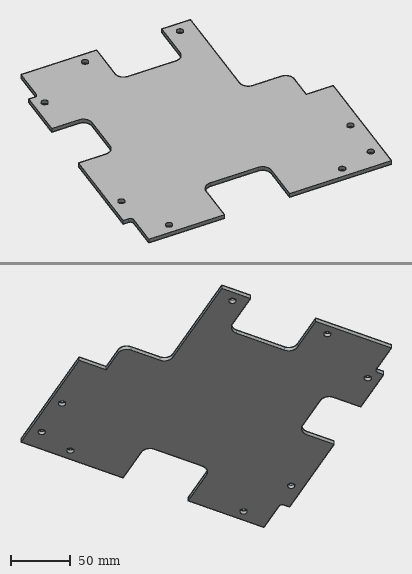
import cadquery as cq

width = 238.0
height = 235.0
thickness = 4.0

corner_radius = 8.0
step_radius = 3.0

arm_top = 166.5
shoulder_left = 99.2
shoulder_top = 209.7
tower_left = 129.5

side_notch_depth = 42.1
side_notch_bottom = 79.0
side_notch_top = 139.7

bottom_notch_left = 74.0
bottom_notch_right = 123.5
bottom_notch_depth = 33.5

step_width = 31.2
step_height = 8.3

hole_diameter = 6.0
hole_edge_offset = 9.3
bottom_hole_height = 10.0
top_hole_offset = 10.2
hole_centers = [
    (hole_edge_offset, 152.0),
    (hole_edge_offset, 63.5),
    (41.0, bottom_hole_height),
    (183.7, bottom_hole_height),
    (width - hole_edge_offset, 32.0),
    (width - hole_edge_offset, 193.5),
    (181.8, height - top_hole_offset),
    (219.7, height - top_hole_offset),
]


def box_between(left, right, bottom, top):
    """Plate-thick block spanning the given limits."""
    return cq.Workplane("XY").box(
        right - left, top - bottom, thickness, centered=False
    ).translate((left, bottom, 0))


def round_corners(body, corners, radius):
    """Round the upright edges that stand at the given corners."""
    for x, y in corners:
        nearest = cq.selectors.NearestToPointSelector((x, y, thickness / 2))
        body = body.edges("|Z").edges(nearest).fillet(radius)
    return body


plate = box_between(0, width, 0, height)

plate = plate.cut(box_between(0, shoulder_left, arm_top, height))
plate = plate.cut(box_between(0, tower_left, shoulder_top, height))
shoulder_corners = [(shoulder_left, arm_top), (shoulder_left, shoulder_top)]
plate = round_corners(plate, shoulder_corners, corner_radius)

for notch_left, notch_right, inner_x in (
    (0, side_notch_depth, side_notch_depth),
    (width - side_notch_depth, width, width - side_notch_depth),
):
    plate = plate.cut(box_between(notch_left, notch_right, side_notch_bottom, side_notch_top))
    notch_corners = [(inner_x, side_notch_bottom), (inner_x, side_notch_top)]
    plate = round_corners(plate, notch_corners, corner_radius)

for step_left, step_right, inner_x in (
    (0, step_width, step_width),
    (width - step_width, width, width - step_width),
):
    plate = plate.cut(box_between(step_left, step_right, 0, step_height))
    plate = round_corners(plate, [(inner_x, step_height)], step_radius)

plate = plate.cut(box_between(bottom_notch_left, bottom_notch_right, 0, bottom_notch_depth))
bottom_notch_corners = [
    (bottom_notch_left, bottom_notch_depth),
    (bottom_notch_right, bottom_notch_depth),
]
plate = round_corners(plate, bottom_notch_corners, corner_radius)

holes = (
    cq.Workplane("XY")
    .pushPoints(hole_centers)
    .circle(hole_diameter / 2)
    .extrude(thickness)
)
result = plate.cut(holes)